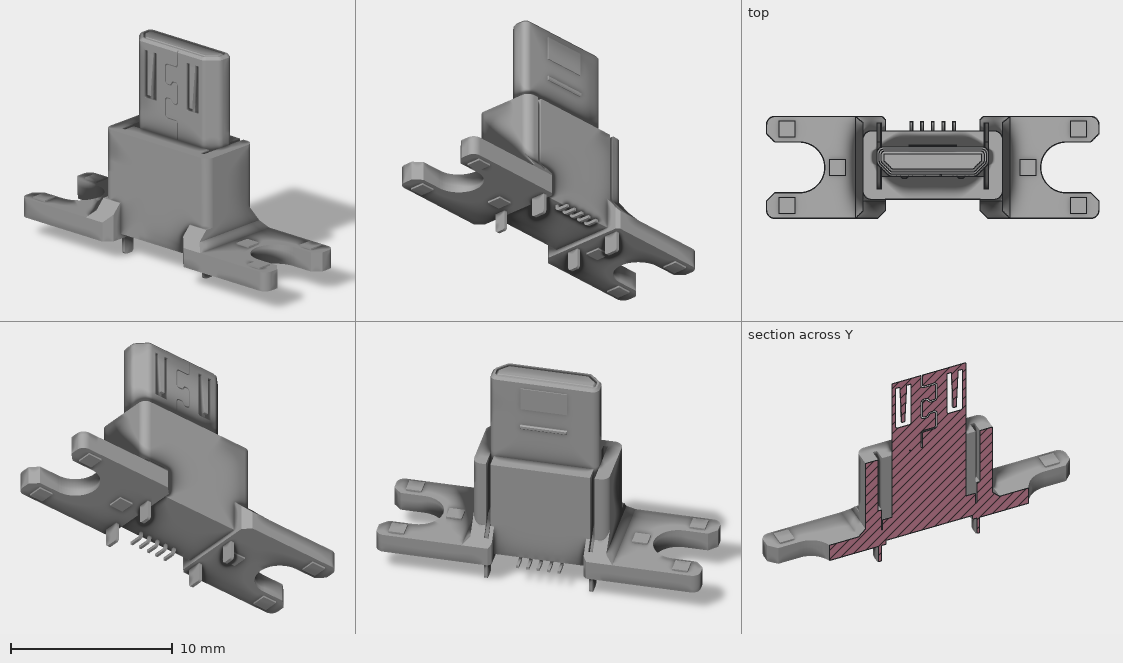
import cadquery as cq
import math


total_length = 20.55
wing_width = 6.3
wing_thickness = 1.25
wing_inner_x = 2.92
wing_end_fillet = 0.51
mouth_half_width = 1.56
mouth_chamfer = 0.51
mouth_bottom_x = 6.68
front_corner_chamfer = 0.5
rear_corner_chamfer = 0.2

housing_length = 8.63
housing_front_y = -1.97
housing_rear_y = 2.26
housing_bottom_z = 0.3
housing_top_z = 6.95
housing_corner_radius = 0.53

gusset_top_z = 2.36
front_gusset_top_y = -2.08
side_gusset_size = 0.47

pad_size = 0.99
pad_height = 0.12
outer_pad_x = 9.0
outer_pad_y = 2.36
upper_inner_pad_x = 5.9
lower_inner_pad_x = 4.52

plug_length = 6.9
plug_front_y = -0.55
plug_rear_y = 1.27
plug_top_z = 12.86
plug_front_chamfer = 0.78
plug_edge_radius = 0.41
rim_bevel_width = 0.15
rim_bevel_height = 0.175
insert_inset = 0.27
insert_edge_radius = 0.2
insert_bevel = 0.175
insert_groove_depth = 0.2

cavity_floor_z = 2.05

plate_outer_x = plug_length / 2
plate_thickness = 0.23
plate_front_y = -1.34
plate_rear_y = 2.75
plate_top_z = 2.88
plate_slope_start_y = 1.58
plate_front_radius = 0.41
slot_width = 0.29
leg_bottom_z = -1.3
leg_corner_radius = 0.18
rear_leg_width = 0.99
front_leg_start_y = -1.3
front_leg_width = 0.78

pin_count = 5
pin_pitch = 0.65
pin_thickness = 0.18
pin_bottom_z = -0.12
pin_front_y = 1.85
pin_rear_y = 2.84
pin_bend_radius = 0.3
pin_embed = 0.2

seam_centre_z = 9.95
seam_half_swing = 0.5
seam_outer_step = 1.77
seam_left_step = 0.45
seam_right_step = 0.72
seam_left_knee_x = -0.06
seam_right_knee_x = 0.12
seam_corner_radius = 0.16
seam_width = 0.08
seam_depth = 0.08
seam_overrun = 0.41

latch_x = 1.75
window_width = 1.0
window_top_z = 12.2
window_bottom_z = 9.05
window_depth = 0.25
window_corner_radius = 0.1
latch_root_z = 12.06
latch_knee_z = 9.68
latch_tip_z = 9.35
latch_root_width = 0.5
latch_tip_width = 0.27
latch_lift = 0.12
latch_thickness = 0.18
latch_tail_width = 0.2
latch_tail_height = 0.12

back_width = 2.95
back_pad_bottom_z = 10.77
back_pad_top_z = 12.29
back_pad_height = 0.06
back_ridge_bottom_z = 9.29
back_ridge_top_z = 9.58
back_ridge_height = 0.12

half_length = total_length / 2
half_width = wing_width / 2
half_housing = housing_length / 2
half_plug = plug_length / 2
rear_gusset_slope = (gusset_top_z - wing_thickness) / (half_width - housing_rear_y)


def box(x_range, y_range, z_range):
    """Box spanning the given (start, end) ranges."""
    size = [end - start for start, end in (x_range, y_range, z_range)]
    return cq.Workplane("XY").box(*size, centered=False).translate((x_range[0], y_range[0], z_range[0]))


def extrude_along_x(points, x_start, x_end):
    """Prism with a (y, z) outline."""
    return cq.Workplane("YZ", origin=(x_start, 0, 0)).polyline(points).close().extrude(x_end - x_start)


def both_sides(solid):
    """The right-hand solid together with its mirror image."""
    return solid.union(solid.mirror("YZ"))


def make_housing():
    """Upright block with rounded vertical edges."""
    housing = box(
        (-half_housing, half_housing), (housing_front_y, housing_rear_y), (housing_bottom_z, housing_top_z)
    )
    return housing.edges("|Z").fillet(housing_corner_radius)


def make_wing():
    """Forked right-hand wing; its top rises in slopes to meet the housing."""
    mouth_centre_x = mouth_bottom_x + mouth_half_width
    lip_x = half_length - mouth_chamfer
    lip_y = mouth_half_width + mouth_chamfer
    rear_peak_y = housing_rear_y - housing_corner_radius
    rear_peak_z = gusset_top_z + rear_gusset_slope * housing_corner_radius

    plan = (
        cq.Workplane("XY")
        .moveTo(wing_inner_x, -half_width + front_corner_chamfer)
        .lineTo(wing_inner_x + front_corner_chamfer, -half_width)
        .lineTo(half_length, -half_width)
        .lineTo(half_length, -lip_y)
        .lineTo(lip_x, -mouth_half_width)
        .lineTo(mouth_centre_x, -mouth_half_width)
        .threePointArc((mouth_bottom_x, 0), (mouth_centre_x, mouth_half_width))
        .lineTo(lip_x, mouth_half_width)
        .lineTo(half_length, lip_y)
        .lineTo(half_length, half_width)
        .lineTo(wing_inner_x + rear_corner_chamfer, half_width)
        .lineTo(wing_inner_x, half_width - rear_corner_chamfer)
        .close()
        .extrude(rear_peak_z)
    )
    for y_side in ("<Y", ">Y"):
        plan = plan.edges("|Z").edges(">X").edges(y_side).fillet(wing_end_fillet)

    side_profile = extrude_along_x(
        [
            (-half_width, 0),
            (half_width, 0),
            (half_width, wing_thickness),
            (rear_peak_y, rear_peak_z),
            (rear_peak_y, gusset_top_z),
            (front_gusset_top_y, gusset_top_z),
            (-half_width, wing_thickness),
        ],
        0,
        half_length,
    )
    front_profile = (
        cq.Workplane("XZ", origin=(0, half_width, 0))
        .polyline(
            [
                (0, 0),
                (half_length, 0),
                (half_length, wing_thickness),
                (half_housing + side_gusset_size, wing_thickness),
                (half_housing, wing_thickness + side_gusset_size),
                (half_housing, rear_peak_z),
                (0, rear_peak_z),
            ]
        )
        .close()
        .extrude(wing_width)
    )
    return plan.intersect(side_profile).intersect(front_profile)


def make_pads():
    """Square pads above and below the right-hand wing."""
    outer_spots = [(outer_pad_x, -outer_pad_y), (outer_pad_x, outer_pad_y)]
    upper_spots = outer_spots + [(upper_inner_pad_x, 0)]
    lower_spots = outer_spots + [(lower_inner_pad_x, 0)]
    upper = cq.Workplane("XY", origin=(0, 0, wing_thickness)).pushPoints(upper_spots)
    lower = cq.Workplane("XY").pushPoints(lower_spots)
    return upper.rect(pad_size, pad_size).extrude(pad_height).union(
        lower.rect(pad_size, pad_size).extrude(-pad_height)
    )


def make_cavity():
    """Rectangular opening between the anchor slots."""
    half_opening = plate_outer_x - slot_width
    return box(
        (-half_opening, half_opening), (plug_front_y, plug_rear_y), (cavity_floor_z, housing_top_z)
    )


def make_anchor_slot():
    """Slot beside the right-hand anchor plate, open at the housing top."""
    return box(
        (plate_outer_x - slot_width, plate_outer_x),
        (plate_front_y, plate_rear_y),
        (wing_thickness, housing_top_z),
    )


def make_anchor_plate():
    """Plate in the right-hand slot, with two legs below the wing."""
    rear_z = plate_top_z - rear_gusset_slope * (plate_rear_y - plate_slope_start_y)
    x_range = (plate_outer_x - plate_thickness, plate_outer_x)
    plate = extrude_along_x(
        [
            (plate_front_y, 0),
            (plate_rear_y, 0),
            (plate_rear_y, rear_z),
            (plate_slope_start_y, plate_top_z),
            (plate_front_y, plate_top_z),
        ],
        *x_range,
    )
    plate = plate.edges("|X and <Y and >Z").fillet(plate_front_radius)
    legs = (
        (front_leg_start_y, front_leg_start_y + front_leg_width),
        (plate_rear_y - rear_leg_width, plate_rear_y),
    )
    for y_range in legs:
        leg = box(x_range, y_range, (leg_bottom_z, wing_thickness))
        plate = plate.union(leg.faces("<Z").edges("|X").fillet(leg_corner_radius))
    return plate


def make_pins():
    """Row of bent pins that leave the housing underside toward the rear."""
    pin_top_z = housing_bottom_z + pin_embed
    pins = cq.Workplane("XY")
    for index in range(pin_count):
        x_centre = (index - (pin_count - 1) / 2) * pin_pitch
        pin = extrude_along_x(
            [
                (pin_front_y, pin_bottom_z),
                (pin_rear_y, pin_bottom_z),
                (pin_rear_y, pin_bottom_z + pin_thickness),
                (pin_front_y + pin_thickness, pin_bottom_z + pin_thickness),
                (pin_front_y + pin_thickness, pin_top_z),
                (pin_front_y, pin_top_z),
            ],
            x_centre - pin_thickness / 2,
            x_centre + pin_thickness / 2,
        )
        pins = pins.union(pin.edges("|X and <Y and <Z").fillet(pin_bend_radius))
    return pins


def plug_prism(inset, corner_radius, bottom_z, top_z):
    """Prism with the plug outline moved inward by inset, with rounded upright edges."""
    side_x = half_plug - inset
    front_y = plug_front_y + inset
    rear_y = plug_rear_y - inset
    chamfer = plug_front_chamfer - inset * (2 - math.sqrt(2))
    prism = (
        cq.Workplane("XY", origin=(0, 0, bottom_z))
        .polyline(
            [
                (-side_x + chamfer, front_y),
                (side_x - chamfer, front_y),
                (side_x, front_y + chamfer),
                (side_x, rear_y),
                (-side_x, rear_y),
                (-side_x, front_y + chamfer),
            ]
        )
        .close()
        .extrude(top_z - bottom_z)
    )
    return prism.edges("|Z").fillet(corner_radius)


def make_plug_body():
    """Shell with a bevelled rim around a bevelled insert."""
    shell = plug_prism(0, plug_edge_radius, cavity_floor_z, plug_top_z)
    shell = shell.faces(">Z").chamfer(rim_bevel_height, rim_bevel_width)
    recess = plug_prism(insert_inset, insert_edge_radius, plug_top_z - insert_groove_depth, plug_top_z)
    insert = recess.faces(">Z").chamfer(insert_bevel)
    return shell.cut(recess).union(insert)


def make_seam():
    """Groove along the jigsaw joint line of the shell."""
    left_x = -half_plug
    top_z = plug_top_z + seam_overrun
    bottom_z = cavity_floor_z
    upper_joint = [
        (seam_half_swing, seam_outer_step),
        (-seam_half_swing, seam_outer_step),
        (-seam_half_swing, seam_left_step),
        (seam_left_knee_x, seam_left_step),
        (seam_right_knee_x, seam_right_step),
        (seam_half_swing, seam_right_step),
    ]
    lower_joint = [(x, -z) for x, z in reversed(upper_joint)]
    joint = [(x, seam_centre_z + z) for x, z in upper_joint + lower_joint]
    upper_end = [(left_x, top_z), (seam_half_swing, top_z)]
    lower_end = [(seam_half_swing, bottom_z), (left_x, bottom_z)]
    outline = upper_end + joint + lower_end

    floor = cq.Workplane("XZ", origin=(0, plug_front_y + seam_depth, 0))
    panel = floor.polyline(outline).close().extrude(2 * seam_depth).edges("|Y").fillet(seam_corner_radius)
    panel_wire = panel.faces(">Y").wires().val()

    def grown_panel(distance):
        outer_wire = panel_wire.offset2D(distance)[0]
        return cq.Workplane(cq.Solid.extrudeLinear(outer_wire, [], cq.Vector(0, -2 * seam_depth, 0)))

    groove = grown_panel(seam_width / 2).cut(grown_panel(-seam_width / 2))
    reach = seam_half_swing + seam_width
    return groove.intersect(
        box(
            (-reach, reach),
            (plug_front_y - seam_depth, plug_front_y + seam_depth),
            (housing_top_z, plug_top_z),
        )
    )


def make_latch_window():
    """Recess around the right-hand latch."""
    window = box(
        (latch_x - window_width / 2, latch_x + window_width / 2),
        (plug_front_y, plug_front_y + window_depth),
        (window_bottom_z, window_top_z),
    )
    return window.faces("<Z").edges("|Y").fillet(window_corner_radius)


def make_latch():
    """Tapered tongue that leans out of its window and ends in a blunt tip over a narrow tail."""
    inner_y = plug_front_y + window_depth
    profile = extrude_along_x(
        [
            (inner_y, window_top_z),
            (plug_front_y, window_top_z),
            (plug_front_y, latch_root_z),
            (plug_front_y - latch_lift, latch_knee_z),
            (plug_front_y - latch_lift, latch_tip_z),
            (plug_front_y - latch_lift + latch_thickness, latch_tip_z),
            (inner_y, latch_knee_z),
        ],
        latch_x - window_width / 2,
        latch_x + window_width / 2,
    )
    taper = (
        cq.Workplane("XZ", origin=(0, inner_y, 0))
        .polyline(
            [
                (latch_x - latch_root_width / 2, window_top_z),
                (latch_x + latch_root_width / 2, window_top_z),
                (latch_x + latch_tip_width / 2, latch_knee_z),
                (latch_x + latch_tip_width / 2, latch_tip_z),
                (latch_x - latch_tip_width / 2, latch_tip_z),
                (latch_x - latch_tip_width / 2, latch_knee_z),
            ]
        )
        .close()
        .extrude(window_depth + latch_lift)
    )
    tail = box(
        (latch_x - latch_tail_width / 2, latch_x + latch_tail_width / 2),
        (inner_y - latch_tail_height, inner_y),
        (window_bottom_z, latch_knee_z),
    )
    return profile.intersect(taper).union(tail)


def make_back_marks():
    """Low pad and ridge on the back of the plug."""
    x_range = (-back_width / 2, back_width / 2)
    pad = box(x_range, (plug_rear_y, plug_rear_y + back_pad_height), (back_pad_bottom_z, back_pad_top_z))
    ridge = box(
        x_range, (plug_rear_y, plug_rear_y + back_ridge_height), (back_ridge_bottom_z, back_ridge_top_z)
    )
    ridge = ridge.faces(">Y").edges("|X").chamfer(back_ridge_height / 2)
    return pad.union(ridge)


plug = (
    make_plug_body()
    .cut(make_seam())
    .cut(both_sides(make_latch_window()))
    .union(both_sides(make_latch()))
    .union(make_back_marks())
)

result = (
    make_housing()
    .union(both_sides(make_wing()))
    .union(both_sides(make_pads()))
    .cut(make_cavity())
    .cut(both_sides(make_anchor_slot()))
    .union(both_sides(make_anchor_plate()))
    .union(make_pins())
    .union(plug)
)